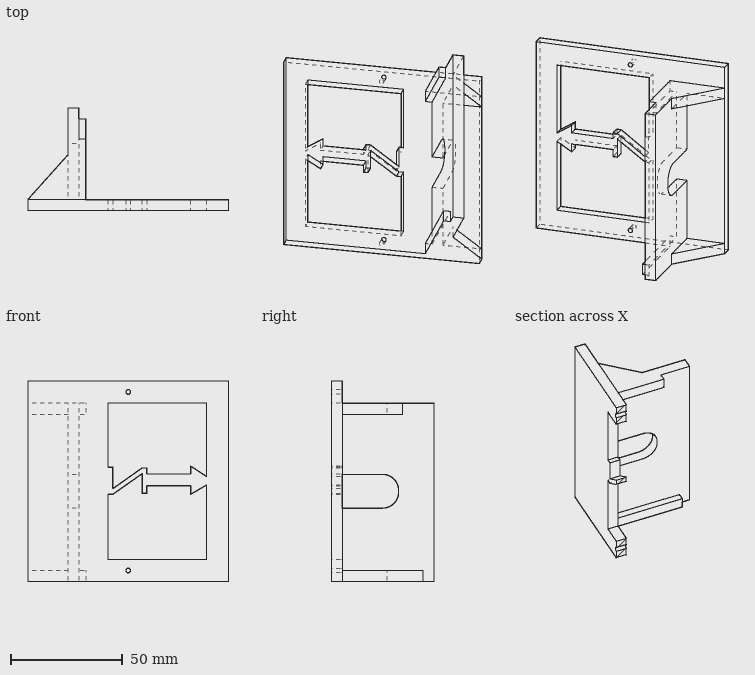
import cadquery as cq

PLATE_SIDE = 90.0
PLATE_THICKNESS = 5.0

WINDOW_LEFT = 36.0
WINDOW_RIGHT = 80.0
WINDOW_MARGIN = 10.0

SCREW_HOLE_DIAMETER = 2.0
SCREW_HOLE_INSET = 5.0

ARROW_OVERLAP = 1.0
STUB_RIGHT = 38.1
STUB_TOP = 51.3
STUB_BOTTOM = 39.1
DIAGONAL_RIGHT = 51.2
DIAGONAL_TOP = 51.0
DIAGONAL_DROP = 2.6
DIAGONAL_FOOT = STUB_BOTTOM + DIAGONAL_DROP
BAR_RIGHT = 53.3
BAR_BOTTOM = 39.5
SHAFT_TOP = 48.3
SHAFT_BOTTOM = 42.9
HEAD_LEFT = 73.0
HEAD_TOP = 51.8
HEAD_BOTTOM = 39.1
HEAD_TOP_AT_FRAME = 47.2
HEAD_BOTTOM_AT_FRAME = 43.2

TOTAL_DEPTH = 46.1
WALL_LEFT = 17.9
WALL_THICKNESS = 5.0
WALL_HEIGHT = 80.0
WALL_RIGHT = WALL_LEFT + WALL_THICKNESS

SLOT_WIDTH = 15.0
SLOT_CORNER_RADIUS = 7.0
SLOT_END = 30.1
SLOT_CENTER_Z = 40.5

RIB_THICKNESS = 5.0
RIB_RIGHT = 26.0
RIB_SLOPE_END = 25.0
TOP_RIB_END = 32.0
BOTTOM_RIB_SETBACK = 5.0
BOTTOM_RIB_END = TOTAL_DEPTH - BOTTOM_RIB_SETBACK


def front_profile():
    """Workplane on the front face of the plate: local x is X, local y is Z, normal is -Y."""
    return cq.Workplane("XZ")


def make_arrow():
    """Zigzag stub, shaft and arrowhead, as thick as the plate."""
    left = WINDOW_LEFT - ARROW_OVERLAP
    right = WINDOW_RIGHT + ARROW_OVERLAP
    outline = [
        (left, STUB_BOTTOM),
        (STUB_RIGHT, STUB_BOTTOM),
        (DIAGONAL_RIGHT, SHAFT_TOP),
        (DIAGONAL_RIGHT, BAR_BOTTOM),
        (BAR_RIGHT, BAR_BOTTOM),
        (BAR_RIGHT, SHAFT_BOTTOM),
        (HEAD_LEFT, SHAFT_BOTTOM),
        (HEAD_LEFT, HEAD_BOTTOM),
        (WINDOW_RIGHT, HEAD_BOTTOM_AT_FRAME),
        (right, HEAD_BOTTOM_AT_FRAME),
        (right, HEAD_TOP_AT_FRAME),
        (WINDOW_RIGHT, HEAD_TOP_AT_FRAME),
        (HEAD_LEFT, HEAD_TOP),
        (HEAD_LEFT, SHAFT_TOP),
        (BAR_RIGHT, SHAFT_TOP),
        (BAR_RIGHT, DIAGONAL_TOP),
        (DIAGONAL_RIGHT, DIAGONAL_TOP),
        (STUB_RIGHT, DIAGONAL_FOOT),
        (STUB_RIGHT, STUB_TOP),
        (left, STUB_TOP),
    ]
    return front_profile().polyline(outline).close().extrude(-PLATE_THICKNESS)


def make_plate():
    """Square face plate with the window, the arrow across it and two screw holes."""
    plate = cq.Workplane("XY").box(PLATE_SIDE, PLATE_THICKNESS, PLATE_SIDE, centered=False)
    window = (
        front_profile()
        .moveTo(WINDOW_LEFT, WINDOW_MARGIN)
        .rect(WINDOW_RIGHT - WINDOW_LEFT, PLATE_SIDE - 2 * WINDOW_MARGIN, centered=False)
        .extrude(-PLATE_THICKNESS)
    )
    screw_centers = [
        (PLATE_SIDE / 2, SCREW_HOLE_INSET),
        (PLATE_SIDE / 2, PLATE_SIDE - SCREW_HOLE_INSET),
    ]
    screw_holes = (
        front_profile()
        .pushPoints(screw_centers)
        .circle(SCREW_HOLE_DIAMETER / 2)
        .extrude(-PLATE_THICKNESS)
    )
    return plate.cut(window).union(make_arrow()).cut(screw_holes)


def make_wall():
    """Upright wall behind the plate, with a rounded slot that opens at the plate."""
    wall = (
        cq.Workplane("XY")
        .box(WALL_THICKNESS, TOTAL_DEPTH - PLATE_THICKNESS, WALL_HEIGHT, centered=False)
        .translate((WALL_LEFT, PLATE_THICKNESS, 0))
    )
    slot_length = SLOT_END - PLATE_THICKNESS
    slot = (
        cq.Workplane("XY")
        .box(WALL_THICKNESS, slot_length, SLOT_WIDTH, centered=False)
        .translate((WALL_LEFT, PLATE_THICKNESS, SLOT_CENTER_Z - SLOT_WIDTH / 2))
        .edges("|X and >Y")
        .fillet(SLOT_CORNER_RADIUS)
    )
    return wall.cut(slot)


def make_rib(bottom_z, rib_end):
    """Horizontal gusset: slopes from the plate edge to the wall and passes to its far side."""
    outline = [
        (0, PLATE_THICKNESS),
        (RIB_RIGHT, PLATE_THICKNESS),
        (RIB_RIGHT, rib_end),
        (WALL_RIGHT, rib_end),
        (WALL_LEFT, RIB_SLOPE_END),
    ]
    return (
        cq.Workplane("XY", origin=(0, 0, bottom_z))
        .polyline(outline)
        .close()
        .extrude(RIB_THICKNESS)
    )


bottom_rib = make_rib(0, BOTTOM_RIB_END)
top_rib = make_rib(WALL_HEIGHT - RIB_THICKNESS, TOP_RIB_END)

result = make_plate().union(make_wall()).union(bottom_rib).union(top_rib).clean()